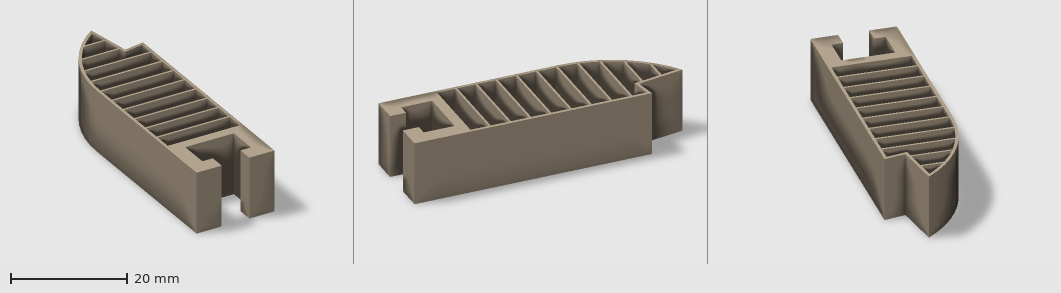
import cadquery as cq
import math

length = 52.8
width = 15.6
height = 12.0

tilt = math.radians(10)
notch_x = 8.85
notch_y = 11.6
nose_arc_end = 19.0

wall = 0.6
rib_thickness = 0.4
rib_pitch = 3.8
rib_count = 10
hollow_end = 42.05

slot_start = 44.0
slot_end = 49.8
slot_width = 9.7
mouth_width = 5.55

tip_y = notch_y - notch_x * math.tan(tilt)
nose_radius = (nose_arc_end**2 + tip_y**2) / (2 * tip_y)


def profile(inset):
    """Outer outline moved inward by the inset on every side."""
    corner_x = notch_x + inset * (math.cos(tilt) + math.sin(tilt))
    corner_y = notch_y + inset * (math.sin(tilt) - math.cos(tilt))
    top = width - inset
    shoulder_x = corner_x - (top - corner_y) * math.tan(tilt)

    radius = nose_radius - inset
    from_center_x = corner_x - nose_arc_end
    from_center_y = corner_y - nose_radius
    along = from_center_x * math.cos(tilt) + from_center_y * math.sin(tilt)
    across = from_center_y * math.cos(tilt) - from_center_x * math.sin(tilt)
    side_length = along + math.sqrt(radius**2 - across**2)
    nose_tip_x = corner_x - side_length * math.cos(tilt)
    nose_tip_y = corner_y - side_length * math.sin(tilt)

    half_sweep = math.asin((nose_arc_end - nose_tip_x) / radius) / 2
    arc_mid_x = nose_arc_end - radius * math.sin(half_sweep)
    arc_mid_y = nose_radius - radius * math.cos(half_sweep)

    return (
        cq.Workplane("XY")
        .moveTo(nose_arc_end, inset)
        .lineTo(length - inset, inset)
        .lineTo(length - inset, top)
        .lineTo(shoulder_x, top)
        .lineTo(corner_x, corner_y)
        .lineTo(nose_tip_x, nose_tip_y)
        .threePointArc((arc_mid_x, arc_mid_y), (nose_arc_end, inset))
        .close()
        .extrude(height)
    )


def block(x_start, x_end, block_width):
    """Full-height block centred across the width."""
    return (
        cq.Workplane("XY")
        .box(x_end - x_start, block_width, height, centered=(False, True, False))
        .translate((x_start, width / 2, 0))
    )


def hollow():
    """Space inside the outer wall, divided by evenly spaced ribs."""
    space = profile(wall)
    space = space.cut(block(hollow_end, length, width))
    for index in range(1, rib_count + 1):
        rib_end = hollow_end - index * rib_pitch + rib_thickness
        space = space.cut(block(rib_end - rib_thickness, rib_end, width))
    return space


def t_slot():
    return block(slot_start, slot_end, slot_width).union(block(slot_start, length, mouth_width))


result = profile(0).cut(hollow()).cut(t_slot())